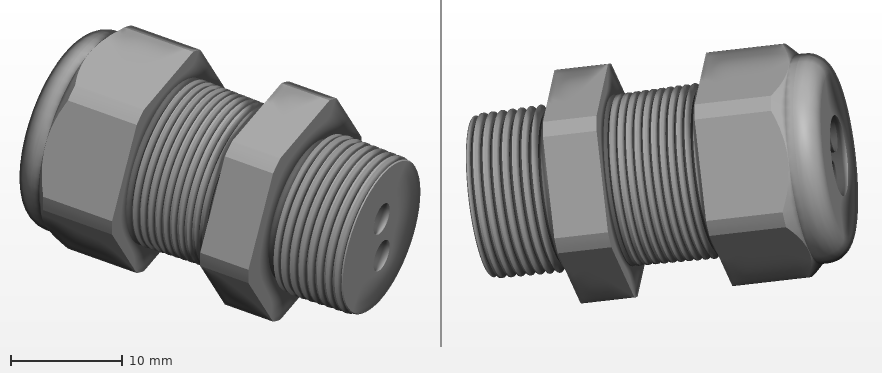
import cadquery as cq
import math


total_length = 32.77
dome_end = 2.8
cap_end = 10.9
collar_start = 19.95
collar_end = 24.9
relief_end = 25.07

hexagon_sides = 6
across_flats = 19.05
across_corners = 21.15
corner_radius = across_corners / 2
dome_radius = 9.5
dome_round = 2.05
front_chamfer = corner_radius - dome_radius

flank_angle = 30.0

cap_thread_root = 7.37
cap_thread_first_groove = 11.25
cap_thread_last_groove = 19.65
cap_thread_grooves = 12
cap_thread_start_radius = 8.0
cap_thread_end_radius = 7.77

entry_thread_root = 6.88
entry_thread_first_groove = 26.18
entry_thread_last_groove = 32.4
entry_thread_grooves = 8
entry_thread_start_radius = 7.65
entry_thread_end_radius = 7.47
entry_end_chamfer = 0.23

relief_radius = 6.78
runout_radius = 0.75

insert_radius = 4.0
recess_radius = 3.67
recess_depth = 0.5
cable_hole_diameter = 3.0
cable_hole_offset = recess_radius - cable_hole_diameter / 2


def revolve_about_x(profile):
    """Turn a closed profile, drawn as (axial position, radius), into a solid."""
    return profile.revolve(360, (0, 0, 0), (1, 0, 0))


def cylinder(start, end, radius):
    return cq.Workplane("YZ").workplane(offset=start).circle(radius).extrude(end - start)


def hexagon(start, end):
    """Hexagonal prism with flats at top and bottom and turned corners."""
    corner_diameter = across_flats / math.cos(math.pi / hexagon_sides)
    outline = cq.Workplane("YZ").workplane(offset=start).polygon(hexagon_sides, corner_diameter)
    prism = outline.extrude(end - start)
    return prism.intersect(cylinder(start, end, corner_radius))


def v_groove(position, root_radius, depth):
    half_width = depth * math.tan(math.radians(flank_angle))
    outer_radius = root_radius + depth
    profile = (
        cq.Workplane("XY")
        .moveTo(position, root_radius)
        .lineTo(position + half_width, outer_radius)
        .lineTo(position - half_width, outer_radius)
        .close()
    )
    return revolve_about_x(profile)


def cut_thread(blank, first_groove, last_groove, count, root_radius, start_radius):
    pitch = (last_groove - first_groove) / (count - 1)
    for index in range(count):
        position = first_groove + index * pitch
        blank = blank.cut(v_groove(position, root_radius, start_radius - root_radius))
    return blank


def make_cap():
    """Domed front and the chamfered hexagon behind it."""
    dome = cylinder(0, dome_end, dome_radius).faces("<X").edges().fillet(dome_round)
    chamfer_cone = revolve_about_x(
        cq.Workplane("XY")
        .moveTo(dome_end, 0)
        .lineTo(dome_end, dome_radius)
        .lineTo(dome_end + front_chamfer, corner_radius)
        .lineTo(cap_end, corner_radius)
        .lineTo(cap_end, 0)
        .close()
    )
    return dome.union(hexagon(dome_end, cap_end).intersect(chamfer_cone))


def make_cap_thread():
    blank = revolve_about_x(
        cq.Workplane("XY")
        .moveTo(cap_end, 0)
        .lineTo(cap_end, cap_thread_start_radius)
        .lineTo(collar_start, cap_thread_end_radius)
        .lineTo(collar_start, 0)
        .close()
    )
    return cut_thread(
        blank,
        cap_thread_first_groove,
        cap_thread_last_groove,
        cap_thread_grooves,
        cap_thread_root,
        cap_thread_start_radius,
    )


def make_entry_thread():
    """Neck, concave runout and the thread at the rear end."""
    arc_middle = runout_radius / math.sqrt(2)
    runout_end = relief_end + runout_radius
    blank = revolve_about_x(
        cq.Workplane("XY")
        .moveTo(collar_end, 0)
        .lineTo(collar_end, relief_radius)
        .lineTo(relief_end, relief_radius)
        .threePointArc(
            (relief_end + arc_middle, relief_radius + runout_radius - arc_middle),
            (runout_end, relief_radius + runout_radius),
        )
        .lineTo(runout_end, entry_thread_start_radius)
        .lineTo(total_length - entry_end_chamfer, entry_thread_end_radius)
        .lineTo(total_length, entry_thread_end_radius - entry_end_chamfer)
        .lineTo(total_length, 0)
        .close()
    )
    return cut_thread(
        blank,
        entry_thread_first_groove,
        entry_thread_last_groove,
        entry_thread_grooves,
        entry_thread_root,
        entry_thread_start_radius,
    )


def make_housing():
    """Cap, threads and collar in one piece, bored through for the insert."""
    collar = hexagon(collar_start, collar_end)
    outside = make_cap().union(make_cap_thread()).union(collar).union(make_entry_thread())
    return outside.cut(cylinder(0, total_length, insert_radius))


def make_insert():
    """Sealing insert with a shallow front recess and two cable holes, one above the other."""
    body = cylinder(0, total_length, insert_radius).cut(cylinder(0, recess_depth, recess_radius))
    cable_holes = (
        cq.Workplane("YZ")
        .pushPoints([(0, cable_hole_offset), (0, -cable_hole_offset)])
        .circle(cable_hole_diameter / 2)
        .extrude(total_length)
    )
    return body.cut(cable_holes)


housing = make_housing()
insert = make_insert()
result = cq.Compound.makeCompound([housing.val(), insert.val()])